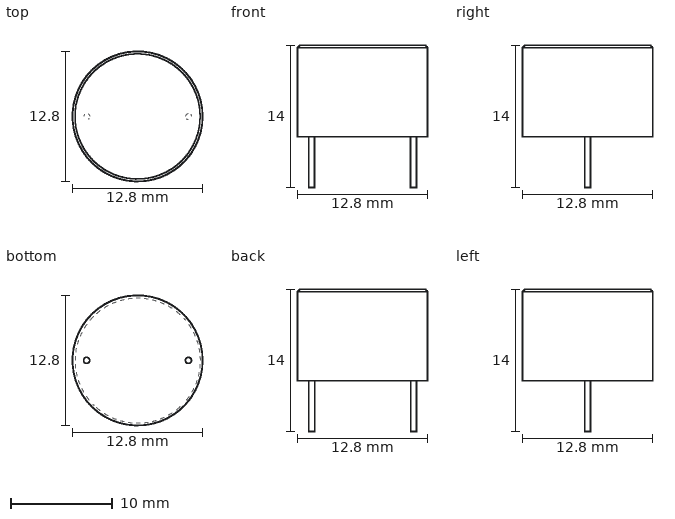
import cadquery as cq

total_height = 14.0
pin_length = 5.0
body_diameter = 12.8
rim_chamfer = 0.25
pin_diameter = 0.6
pin_spacing = 10.0

body_height = total_height - pin_length


def make_body():
    """Round housing standing on Z = 0, with a chamfered top rim."""
    housing = cq.Workplane("XY").circle(body_diameter / 2).extrude(body_height)
    return housing.faces(">Z").edges().chamfer(rim_chamfer)


def make_pins():
    """Two straight round pins hanging below the housing, side by side along X."""
    pin_centers = [(-pin_spacing / 2, 0), (pin_spacing / 2, 0)]
    return cq.Workplane("XY").pushPoints(pin_centers).circle(pin_diameter / 2).extrude(-pin_length)


result = make_body().union(make_pins())